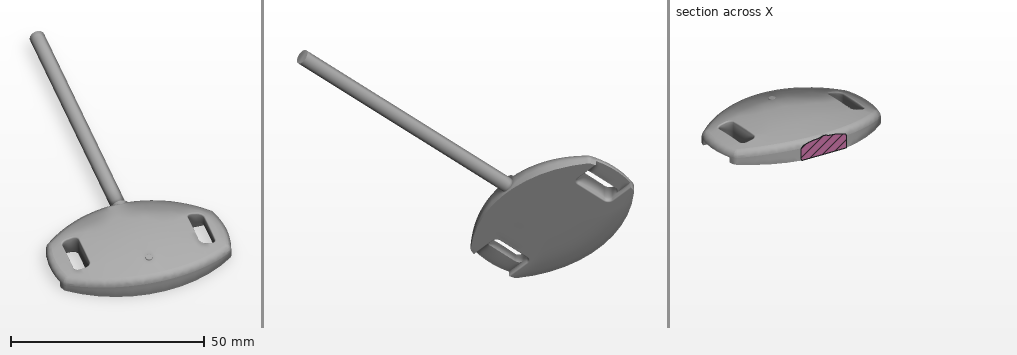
import cadquery as cq

HEAD_LENGTH_X = 32.0
HEAD_WIDTH_Y = 48.0
CORNER_X = 7.9
CORNER_Y = 22.65
CORNER_FILLET = 1.7

DOME_HEIGHT = 6.75
DOME_RADIUS = 87.0
RIM_FILLET = 1.9

SLOT_LENGTH_X = 12.2
SLOT_WIDTH_Y = 4.3
SLOT_CENTRE_Y = 17.0
SLOT_CORNER_RADIUS = 1.5
SLOT_EDGE_FILLET = 0.35
CHANNEL_HEIGHT = 1.55

BUTTON_X = 9.0
BUTTON_DIAMETER = 1.95
BUTTON_HEIGHT = 6.6
BUTTON_TOP_DIAMETER = 1.7

TOTAL_LENGTH_X = 104.18
CABLE_DIAMETER = 4.0
CABLE_Z = 2.7
COLLAR_DIAMETER = 5.6
COLLAR_LENGTH = 4.0

HALF_X = HEAD_LENGTH_X / 2
HALF_Y = HEAD_WIDTH_Y / 2
CABLE_LENGTH = TOTAL_LENGTH_X - HEAD_LENGTH_X


def outline_plate():
    """Flat prism of the head outline, taller than the dome."""
    return (
        cq.Workplane("XY")
        .moveTo(-CORNER_X, -CORNER_Y)
        .threePointArc((0, -HALF_Y), (CORNER_X, -CORNER_Y))
        .threePointArc((HALF_X, 0), (CORNER_X, CORNER_Y))
        .threePointArc((0, HALF_Y), (-CORNER_X, CORNER_Y))
        .threePointArc((-HALF_X, 0), (-CORNER_X, -CORNER_Y))
        .close()
        .extrude(2 * DOME_HEIGHT)
        .edges("|Z")
        .fillet(CORNER_FILLET)
    )


def domed_head():
    """Outline plate under a spherical dome, with a rounded rim."""
    dome = (
        cq.Workplane("XY")
        .sphere(DOME_RADIUS)
        .rotate((0, 0, 0), (0, 1, 0), 90)
        .translate((0, 0, DOME_HEIGHT - DOME_RADIUS))
    )
    return outline_plate().intersect(dome).faces("%SPHERE").edges().fillet(RIM_FILLET)


def cut_strap_slot(body, side):
    """Through slot near one end and a channel under the end, with rounded edges."""
    slot_y = side * SLOT_CENTRE_Y
    slot = (
        cq.Workplane("XY")
        .center(0, slot_y)
        .rect(SLOT_LENGTH_X, SLOT_WIDTH_Y)
        .extrude(DOME_HEIGHT)
        .edges("|Z")
        .fillet(SLOT_CORNER_RADIUS)
    )
    channel = (
        cq.Workplane("XY")
        .center(0, side * (SLOT_CENTRE_Y + HALF_Y) / 2)
        .rect(SLOT_LENGTH_X, HALF_Y - SLOT_CENTRE_Y)
        .extrude(CHANNEL_HEIGHT)
    )
    slotted = body.cut(slot.union(channel))

    margin = SLOT_EDGE_FILLET / 4
    inner_y = side * (SLOT_CENTRE_Y - SLOT_WIDTH_Y / 2 - margin)
    rim_outer_y = side * (SLOT_CENTRE_Y + SLOT_WIDTH_Y / 2 + margin)
    half_length = SLOT_LENGTH_X / 2 + margin
    bottom_edges = cq.selectors.BoxSelector(
        (-half_length, inner_y, -margin), (half_length, side * HALF_Y, margin)
    )
    rim_edges = cq.selectors.BoxSelector(
        (-half_length, inner_y, DOME_HEIGHT / 2), (half_length, rim_outer_y, DOME_HEIGHT)
    )
    slotted = slotted.edges(bottom_edges).fillet(SLOT_EDGE_FILLET)
    return slotted.edges(rim_edges).edges("not |Z").fillet(SLOT_EDGE_FILLET)


def cylinder_x(diameter, start_x, length):
    """Cylinder along +X on the cable axis."""
    return (
        cq.Workplane("YZ", origin=(start_x, 0, CABLE_Z))
        .circle(diameter / 2)
        .extrude(length)
    )


def collar():
    """Collar around the cable entry, trimmed flush with the side wall."""
    return cylinder_x(COLLAR_DIAMETER, -HALF_X, COLLAR_LENGTH).intersect(outline_plate())


def button():
    """Round boss with a rounded top edge, rising through the dome."""
    return (
        cq.Workplane("XY")
        .center(BUTTON_X, 0)
        .circle(BUTTON_DIAMETER / 2)
        .extrude(BUTTON_HEIGHT)
        .faces(">Z")
        .edges()
        .fillet((BUTTON_DIAMETER - BUTTON_TOP_DIAMETER) / 2)
    )


result = domed_head()
for end in (-1, 1):
    result = cut_strap_slot(result, end)
result = result.union(button())
result = result.union(collar())
result = result.union(cylinder_x(CABLE_DIAMETER, -HALF_X - CABLE_LENGTH, CABLE_LENGTH + COLLAR_LENGTH))